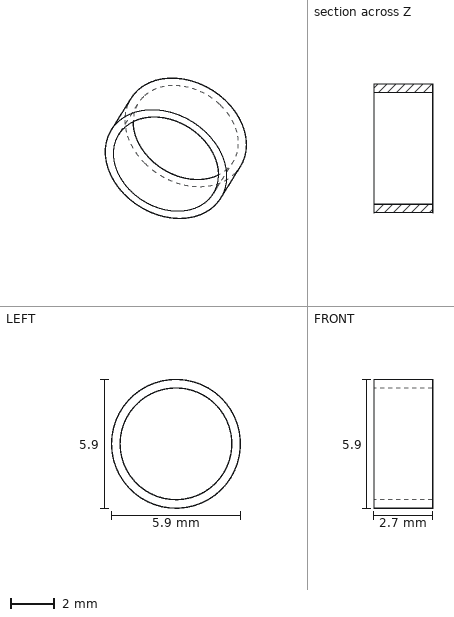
import cadquery as cq

outer_diameter = 5.9
inner_diameter = 5.1
width = 2.7

result = (
    cq.Workplane("YZ")
    .circle(outer_diameter / 2)
    .circle(inner_diameter / 2)
    .extrude(width)
)